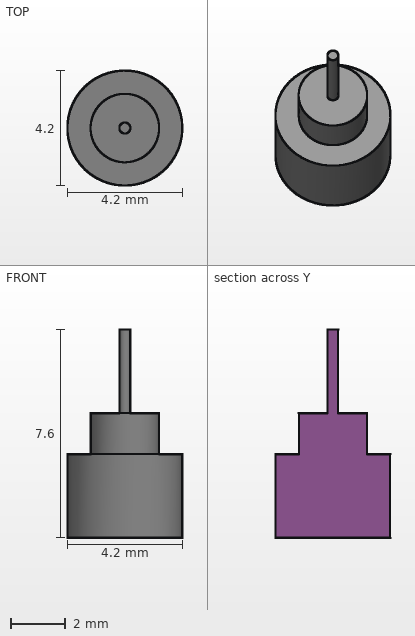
import cadquery as cq

total_height = 7.6
body_diameter = 4.2
body_height = 3.05
collar_diameter = 2.5
collar_height = 1.5
pin_diameter = 0.4
pin_height = total_height - body_height - collar_height


def add_cylinder(part, diameter, height):
    """Stack a centred cylinder on the top face of the part."""
    return part.faces(">Z").workplane().circle(diameter / 2).extrude(height)


body = cq.Workplane("XY").circle(body_diameter / 2).extrude(body_height)
with_collar = add_cylinder(body, collar_diameter, collar_height)
result = add_cylinder(with_collar, pin_diameter, pin_height)